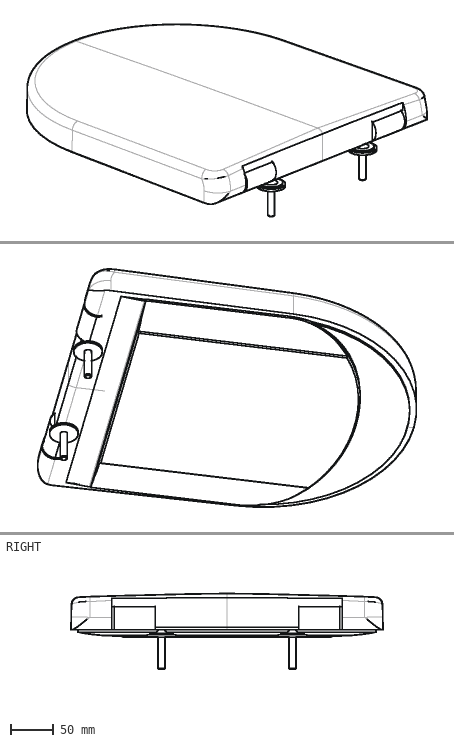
import cadquery as cq
import math


nose_radius = 181.3
side_flare = 0.75
rear_corner_radius = 22.0
block_half_width = 194.5
wall_draft = 1.0

edge_height = 38.5
crown_rise = 4.5
crown_height = edge_height + crown_rise
top_fillet = 9.5

hinge_x = 405.5
stem_y = 77.5
knuckle_radius = 15.0
knuckle_inner_y = 84.5
knuckle_outer_y = 133.0
side_gap = 2.5
socket_outer_y = knuckle_outer_y + side_gap
notch_x = 415.0

rear_x = hinge_x + knuckle_radius
rear_lean_middle = (418.5, 28.7)
rear_top_x = 411.5
outline_end_x = rear_x + 8.5

seat_inset = 8.0
rim_thickness = 2.5
rim_end_x = 357.0
rim_taper_end_x = 384.5
pad_nose_x = 69.5
pad_rear_x = 355.0
pad_chamfer = 2.0
pad_depth = 8.5
pad_half_width = 176.0
pad_flat_half_width = 122.5
pad_bevel_width = 2.0
pad_bevel_depth = 1.3
pad_shoulder = (154.2, -6.0)

cone_top_radius = 3.5
cone_bottom_radius = 7.5
cone_height = 4.0
flange_radius = 14.0
flange_thickness = 1.5
washer_radius = 17.0
washer_thickness = 3.0
bolt_radius = 4.2
bolt_tip_z = -46.5
bolt_chamfer = 1.3

flange_bottom_z = -cone_height - flange_thickness
washer_bottom_z = flange_bottom_z - washer_thickness


def plan_outline(inset=0.0):
    """D-shaped outline: a round nose with slightly flaring tangent sides and a straight end."""
    radius = nose_radius - inset
    flare = math.radians(side_flare)
    tangent_x = nose_radius - radius * math.sin(flare)
    tangent_y = radius * math.cos(flare)
    end_y = tangent_y + (outline_end_x - tangent_x) * math.tan(flare)
    return (
        cq.Workplane("XY")
        .moveTo(outline_end_x, -end_y)
        .lineTo(tangent_x, -tangent_y)
        .threePointArc((inset, 0), (tangent_x, tangent_y))
        .lineTo(outline_end_x, end_y)
        .close()
    )


def side_profile():
    """Side profile of the lid with a leaning rear, extruded over more than its width."""
    return (
        cq.Workplane("XZ")
        .lineTo(rear_x, 0)
        .lineTo(rear_x, knuckle_radius)
        .threePointArc(rear_lean_middle, (rear_top_x, crown_height))
        .lineTo(0, crown_height)
        .close()
        .extrude(block_half_width, both=True)
    )


def crown():
    """Block whose doubly curved top is highest at the middle of the rear edge."""
    cross_radius = nose_radius**2 / (2 * crown_rise)
    long_radius = rear_x**2 / (2 * crown_rise)
    low_edge = crown_height - cross_radius + math.sqrt(cross_radius**2 - block_half_width**2)
    sweep = math.degrees(math.asin(outline_end_x / long_radius))
    axis_z = crown_height - long_radius
    return (
        cq.Workplane("YZ", origin=(rear_x, 0, 0))
        .moveTo(-block_half_width, -crown_height)
        .lineTo(-block_half_width, low_edge)
        .threePointArc((0, crown_height), (block_half_width, low_edge))
        .lineTo(block_half_width, -crown_height)
        .close()
        .revolve(2 * sweep, (0, axis_z, 0), (1, axis_z, 0))
        .rotate((rear_x, 0, axis_z), (rear_x, 1, axis_z), -sweep)
    )


def along_y(radius, y_start, y_end):
    """Cylinder on the hinge axis between two Y positions."""
    return (
        cq.Workplane("XZ", origin=(hinge_x, y_start, knuckle_radius))
        .circle(radius)
        .extrude(y_start - y_end)
    )


def lower_rear_trim():
    """Material behind and below the round that runs along the lower rear edge of the lid."""
    block = cq.Workplane("XY", origin=(hinge_x, 0, 0)).box(
        outline_end_x - hinge_x, 2 * block_half_width, knuckle_radius, centered=(False, True, False)
    )
    return block.cut(along_y(knuckle_radius, -block_half_width, block_half_width))


def make_lid():
    """Solid lid: drafted outline, crowned top, rounded edges and two hinge sockets."""
    body = plan_outline().extrude(crown_height + crown_rise, taper=wall_draft)
    body = body.intersect(side_profile())
    body = body.intersect(crown())
    rear_corners = [
        edge
        for edge in body.edges().vals()
        if edge.Center().x > hinge_x and abs(edge.Center().y) > socket_outer_y
    ]
    body = body.newObject(rear_corners).fillet(rear_corner_radius)
    body = body.faces(">Z").edges().fillet(top_fillet)
    body = body.cut(lower_rear_trim())
    notch = cq.Workplane("XY", origin=(notch_x, 0, 0)).box(
        outline_end_x - notch_x, 2 * socket_outer_y, crown_height, centered=(False, True, False)
    )
    body = body.cut(notch)
    body = body.cut(along_y(knuckle_radius, knuckle_inner_y, socket_outer_y))
    left_half = body.intersect(
        cq.Workplane("XY").box(
            outline_end_x, block_half_width, 2 * crown_height, centered=(False, False, False)
        )
    )
    return left_half.union(left_half.mirror("XZ"), clean=False)


def make_seat():
    """Thin rim under the lid that tapers away at the rear, with a rounded pad below it."""
    rim_profile = (
        cq.Workplane("XZ")
        .moveTo(0, 0)
        .lineTo(0, -rim_thickness)
        .lineTo(rim_end_x, -rim_thickness)
        .lineTo(rim_taper_end_x, 0)
        .close()
        .extrude(block_half_width, both=True)
    )
    rim = plan_outline(seat_inset).extrude(-pad_depth).intersect(rim_profile)

    half_section = (
        cq.Workplane("YZ")
        .moveTo(0, 0)
        .lineTo(0, -pad_depth)
        .lineTo(pad_flat_half_width, -pad_depth)
        .line(pad_bevel_width, pad_bevel_depth)
        .threePointArc(pad_shoulder, (pad_half_width, -rim_thickness))
        .lineTo(pad_half_width, 0)
        .close()
        .extrude(outline_end_x)
    )
    pad_section = half_section.union(half_section.mirror("XZ"))
    pad_nose = (
        cq.Workplane("XY", origin=(nose_radius, 0, 0))
        .ellipse(nose_radius - pad_nose_x, pad_half_width)
        .extrude(-pad_depth)
    )
    pad_rear = cq.Workplane("XY", origin=(nose_radius, 0, -pad_depth)).box(
        pad_rear_x - nose_radius, 2 * pad_half_width, pad_depth, centered=(False, True, False)
    )
    pad = pad_nose.union(pad_rear).faces("<Z").edges().chamfer(pad_chamfer)
    return rim.union(pad.intersect(pad_section))


def make_knuckle(side):
    """Round hinge knuckle that fills the socket in the lid."""
    return along_y(knuckle_radius, side * knuckle_inner_y, side * knuckle_outer_y)


def make_stem(side):
    """Cone under the lid that widens into a thin flange."""
    return (
        cq.Workplane("XZ", origin=(hinge_x, side * stem_y, 0))
        .lineTo(cone_top_radius, 0)
        .lineTo(cone_bottom_radius, -cone_height)
        .lineTo(flange_radius, -cone_height)
        .lineTo(flange_radius, flange_bottom_z)
        .lineTo(0, flange_bottom_z)
        .close()
        .revolve(360, (0, 0, 0), (0, 1, 0))
    )


def make_washer(side):
    """Flat ring under the flange, around the bolt."""
    return (
        cq.Workplane("XY", origin=(hinge_x, side * stem_y, washer_bottom_z))
        .circle(washer_radius)
        .circle(bolt_radius)
        .extrude(washer_thickness)
    )


def make_bolt(side):
    """Plain rod through the washer, chamfered at its lower end."""
    return (
        cq.Workplane("XY", origin=(hinge_x, side * stem_y, bolt_tip_z))
        .circle(bolt_radius)
        .extrude(flange_bottom_z - bolt_tip_z)
        .faces("<Z")
        .chamfer(bolt_chamfer)
    )


bodies = [make_lid().val(), make_seat().val()]
for side in (-1, 1):
    for make_part in (make_knuckle, make_stem, make_washer, make_bolt):
        bodies.append(make_part(side).val())

result = cq.Compound.makeCompound(bodies)